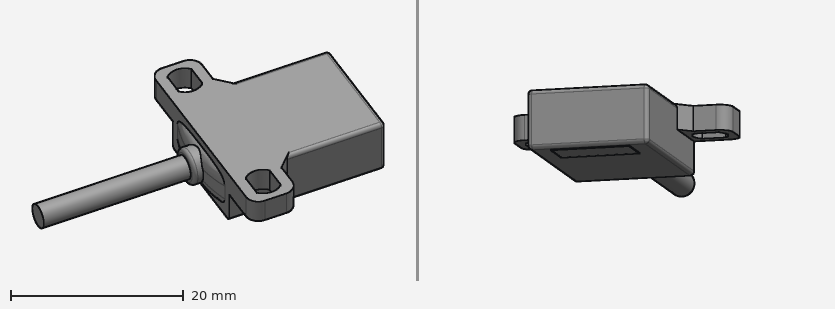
import cadquery as cq


body_width = 14.5
body_length = 20.25
body_height = 7.0
edge_radius = 0.5
top_z = body_height / 2
bottom_z = -body_height / 2

flange_width = 26.2
flange_depth = 6.0
flange_thickness = 3.0
flange_corner_radius = 1.6
gusset_size = 1.5

hole_spacing = 20.0
hole_diameter = 4.2
hole_flat_width = 3.1

pad_width = 9.4
pad_length = 4.6
pad_height = 0.1
pad_rear_inset = 1.0

cable_diameter = 3.0
cable_length = 21.15
cable_z = -0.08
sleeve_diameter = 4.6
sleeve_length = 2.1
sleeve_fillet = 0.5

dome_sections = [
    (0.0, 6.05, 2.5, 0.99),
    (0.47, 4.46, 2.2, 0.93),
    (0.88, 2.0, 1.3, 0.86),
]
shoulder_lift = 1.65


def make_housing():
    """Block with rounded edges everywhere except around the cable-exit face."""
    block = cq.Workplane("XY").box(
        body_width, body_length, body_height, centered=(True, False, True)
    )
    return block.edges("|Y or >Y").fillet(edge_radius)


def make_flange():
    """Flat plate with rounded ears and 45-degree gussets against the housing."""
    half_body = body_width / 2
    plate = (
        cq.Workplane("XY")
        .workplane(offset=top_z - flange_thickness)
        .rect(flange_width, flange_depth)
        .extrude(flange_thickness)
        .translate((0, flange_depth / 2, 0))
        .edges("|Z")
        .fillet(flange_corner_radius)
    )
    gusset_outer = half_body + gusset_size
    gusset_inner = half_body - edge_radius
    gusset_end = flange_depth + gusset_size + edge_radius
    gussets = (
        cq.Workplane("XY")
        .workplane(offset=top_z - flange_thickness)
        .polyline([
            (-gusset_outer, flange_depth),
            (gusset_outer, flange_depth),
            (gusset_inner, gusset_end),
            (-gusset_inner, gusset_end),
        ])
        .close()
        .extrude(flange_thickness)
    )
    return plate.union(gussets)


def make_mounting_holes():
    """Cutters for the two truncated round holes."""
    centers = [(side * hole_spacing / 2, flange_depth / 2) for side in (-1, 1)]
    start = cq.Workplane("XY").workplane(offset=top_z - flange_thickness).pushPoints(centers)
    rounds = start.circle(hole_diameter / 2).extrude(flange_thickness)
    flats = start.rect(hole_diameter, hole_flat_width).extrude(flange_thickness)
    return rounds.intersect(flats)


def make_pad():
    """Thin raised rectangle on the underside near the rear."""
    return (
        cq.Workplane("XY")
        .workplane(offset=bottom_z - pad_height)
        .center(0, body_length - pad_rear_inset - pad_length / 2)
        .rect(pad_width, pad_length)
        .extrude(pad_height)
    )


def dome_outline(distance, half_width, half_height, half_side):
    """Closed outline with straight sides and curved top and bottom."""
    rise = half_height - half_side
    shoulder_z = half_side + shoulder_lift * rise
    middle_z = half_side + (8 - 4 * shoulder_lift) / 3 * rise

    def point(x, z):
        return cq.Vector(x, -distance, z + cable_z)

    def arch(sign):
        """Curve over the top (sign 1) or under the bottom (sign -1)."""
        return cq.Edge.makeBezier([
            point(-sign * half_width, sign * half_side),
            point(-sign * half_width, sign * shoulder_z),
            point(0, sign * middle_z),
            point(sign * half_width, sign * shoulder_z),
            point(sign * half_width, sign * half_side),
        ])

    right_side = cq.Edge.makeLine(point(half_width, half_side), point(half_width, -half_side))
    left_side = cq.Edge.makeLine(point(-half_width, -half_side), point(-half_width, half_side))
    return cq.Wire.assembleEdges([arch(1), right_side, arch(-1), left_side])


def make_dome():
    """Smooth loft that narrows from the housing face to the sleeve."""
    outlines = [dome_outline(*section) for section in dome_sections]
    return cq.Workplane(cq.Solid.makeLoft(outlines))


def make_cable():
    """Cable and its rounded sleeve, both along -Y."""
    sleeve = (
        cq.Workplane("XZ", origin=(0, 0, cable_z))
        .circle(sleeve_diameter / 2)
        .extrude(sleeve_length)
        .faces("<Y")
        .edges()
        .fillet(sleeve_fillet)
    )
    cable = cq.Workplane("XZ", origin=(0, 0, cable_z)).circle(cable_diameter / 2).extrude(cable_length)
    return sleeve.union(cable)


result = (
    make_housing()
    .union(make_flange())
    .cut(make_mounting_holes())
    .union(make_pad())
    .union(make_dome())
    .union(make_cable())
)